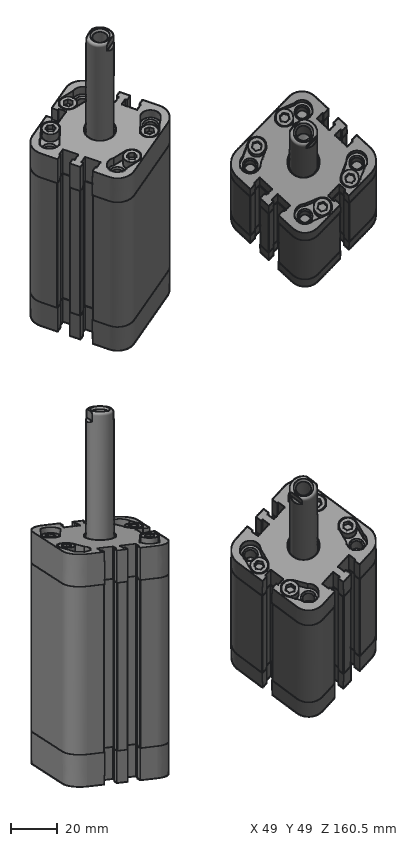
import cadquery as cq
import math

body_side = 49.0
corner_radius = 8.0
tube_length = 75.1
cap_length = 14.5
cap_draft_angle = 0.3
total_length = 160.5

slot_neck_width = 5.8
slot_neck_depth = 3.0
cap_slot_depth = 6.6
tube_slot_depth = 6.3
paired_neck_position = 5.5
paired_undercut_width = 7.4
paired_undercut_position = 5.3
single_neck_width = 5.3
single_undercut_width = 7.0
tube_mouth_chamfer = 0.3

mount_position = 16.2
mount_hole_diameter = 5.1
mount_countersink_diameter = 6.6
mount_hole_depth = 8.0
pocket_depth = 4.5
pocket_mount_diameter = 9.0
pocket_width = 8.3
screw_x = 19.5
screw_y = 8.7
screw_head_diameter = 7.5
screw_socket_flats = 3.9
screw_socket_depth = 2.5

rod_diameter = 12.0
rod_tip_fillet = 1.3
flat_width = 10.0
flat_length = 4.0
rod_hole_diameter = 6.6
rod_countersink_diameter = 8.5
rod_hole_depth = 16.0
drill_point_angle = 118.0
opening_diameter = 13.6
opening_chamfer_diameter = 14.0
opening_depth = 3.2
rod_clearance_diameter = 12.5

half_side = body_side / 2
front_cap_base = cap_length + tube_length
body_top = front_cap_base + cap_length
quadrants = [(sx, sy) for sx in (1, -1) for sy in (1, -1)]


def slot_cutter(neck_width, undercut_width, undercut_shift, depth, length, mouth_chamfer):
    """T-slot opening toward +Y on the Y side, with its neck centred on X = 0."""
    neck = (
        cq.Workplane("XY")
        .rect(neck_width, 2 * depth)
        .extrude(length)
        .translate((0, half_side, 0))
    )
    undercut_height = depth - slot_neck_depth
    undercut = (
        cq.Workplane("XY")
        .rect(undercut_width, undercut_height)
        .extrude(length)
        .translate((undercut_shift, half_side - slot_neck_depth - undercut_height / 2, 0))
    )
    cutter = neck.union(undercut)
    if mouth_chamfer > 0:
        half_neck = neck_width / 2
        mouth = (
            cq.Workplane("XY")
            .moveTo(-half_neck - mouth_chamfer, half_side)
            .lineTo(half_neck + mouth_chamfer, half_side)
            .lineTo(half_neck, half_side - mouth_chamfer)
            .lineTo(-half_neck, half_side - mouth_chamfer)
            .close()
            .extrude(length)
        )
        cutter = cutter.union(mouth)
    return cutter


def rounded_square():
    return cq.Sketch().rect(body_side, body_side).vertices().fillet(corner_radius)


def cut_slots(block, depth, length, mouth_chamfer=0.0):
    """Cut all five T-slots along a block standing on Z = 0."""
    undercut_shift = paired_undercut_position - paired_neck_position
    paired = slot_cutter(
        slot_neck_width, paired_undercut_width, undercut_shift, depth, length, mouth_chamfer
    ).translate((paired_neck_position, 0, 0))
    paired = paired.union(paired.mirror("YZ"))
    single = slot_cutter(single_neck_width, single_undercut_width, 0, depth, length, mouth_chamfer)
    single = single.rotate((0, 0, 0), (0, 0, 1), 90)
    return block.cut(paired).cut(paired.mirror("XZ")).cut(single)


def make_tube():
    block = cq.Workplane("XY").placeSketch(rounded_square()).extrude(tube_length)
    tube = cut_slots(block, tube_slot_depth, tube_length, tube_mouth_chamfer)
    return tube.translate((0, 0, cap_length))


def cap_blank():
    """Slotted cap standing on Z = 0, with its outer walls drafted inward toward the top."""
    block = (
        cq.Workplane("XY")
        .placeSketch(rounded_square())
        .extrude(cap_length, taper=cap_draft_angle)
    )
    return cut_slots(block, cap_slot_depth, cap_length)


def pocket_cutter():
    """Straight pocket from a screw head to a round end over a mounting hole, in the +X +Y quadrant."""
    span_x = mount_position - screw_x
    span_y = mount_position - screw_y
    span = math.hypot(span_x, span_y)
    track = (
        cq.Workplane("XY")
        .slot2D(span + pocket_width, pocket_width, math.degrees(math.atan2(span_y, span_x)))
        .extrude(pocket_depth)
        .translate((screw_x + span_x / 2, screw_y + span_y / 2, 0))
    )
    mount_end = (
        cq.Workplane("XY")
        .circle(pocket_mount_diameter / 2)
        .extrude(pocket_depth)
        .translate((mount_position, mount_position, 0))
    )
    return track.union(mount_end).translate((0, 0, body_top - pocket_depth))


def countersunk_hole(diameter, countersink_diameter, depth, top):
    """Cutter for a vertical hole on the Z axis with a 45 degree countersink."""
    radius = diameter / 2
    countersink_radius = countersink_diameter / 2
    return (
        cq.Workplane("XZ")
        .moveTo(0, top)
        .lineTo(countersink_radius, top)
        .lineTo(radius, top - (countersink_radius - radius))
        .lineTo(radius, top - depth)
        .lineTo(0, top - depth)
        .close()
        .revolve(360, (0, 0, 0), (0, 1, 0))
    )


def screw_head(socket_angle):
    head = (
        cq.Workplane("XY")
        .workplane(offset=body_top - pocket_depth)
        .circle(screw_head_diameter / 2)
        .extrude(pocket_depth)
    )
    socket = (
        cq.Workplane("XY")
        .workplane(offset=body_top - screw_socket_depth)
        .polygon(6, screw_socket_flats, circumscribed=True)
        .extrude(screw_socket_depth)
        .rotate((0, 0, 0), (0, 0, 1), socket_angle)
    )
    return head.cut(socket)


def make_front_cap():
    cap = cap_blank().translate((0, 0, front_cap_base))
    pocket = pocket_cutter()
    mount_hole = countersunk_hole(
        mount_hole_diameter, mount_countersink_diameter, mount_hole_depth, body_top - pocket_depth
    )
    for sx, sy in quadrants:
        corner_pocket = pocket
        if sx < 0:
            corner_pocket = corner_pocket.mirror("YZ")
        if sy < 0:
            corner_pocket = corner_pocket.mirror("XZ")
        cap = cap.cut(corner_pocket)
        cap = cap.cut(mount_hole.translate((sx * mount_position, sy * mount_position, 0)))
        socket_angle = 90 if sy > 0 else 0
        cap = cap.union(screw_head(socket_angle).translate((sx * screw_x, sy * screw_y, 0)))
    opening = countersunk_hole(opening_diameter, opening_chamfer_diameter, opening_depth, body_top)
    rod_bore = (
        cq.Workplane("XY")
        .workplane(offset=front_cap_base)
        .circle(rod_clearance_diameter / 2)
        .extrude(cap_length)
    )
    return cap.cut(opening).cut(rod_bore)


def make_rod():
    rod_radius = rod_diameter / 2
    rod = (
        cq.Workplane("XY")
        .workplane(offset=front_cap_base)
        .circle(rod_radius)
        .extrude(total_length - front_cap_base)
        .faces(">Z")
        .edges()
        .fillet(rod_tip_fillet)
    )
    half_flat = flat_width / 2
    flat_end = total_length - flat_length
    flat_depth = rod_radius - half_flat
    flat = (
        cq.Workplane("XZ")
        .moveTo(half_flat, total_length)
        .lineTo(half_flat, flat_end)
        .lineTo(rod_radius, flat_end - flat_depth)
        .lineTo(rod_radius, total_length)
        .close()
        .extrude(rod_radius, both=True)
    )
    hole = countersunk_hole(
        rod_hole_diameter, rod_countersink_diameter, rod_hole_depth, total_length
    )
    hole_radius = rod_hole_diameter / 2
    point_base = total_length - rod_hole_depth
    point_height = hole_radius / math.tan(math.radians(drill_point_angle / 2))
    drill_point = (
        cq.Workplane("XZ")
        .moveTo(0, point_base)
        .lineTo(hole_radius, point_base)
        .lineTo(0, point_base - point_height)
        .close()
        .revolve(360, (0, 0, 0), (0, 1, 0))
    )
    return rod.cut(flat).cut(flat.mirror("YZ")).cut(hole).cut(drill_point)


rear_cap = cap_blank().mirror("XY").translate((0, 0, cap_length))
tube = make_tube()
front_cap = make_front_cap()
rod = make_rod()

result = cq.Compound.makeCompound([rear_cap.val(), tube.val(), front_cap.val(), rod.val()])